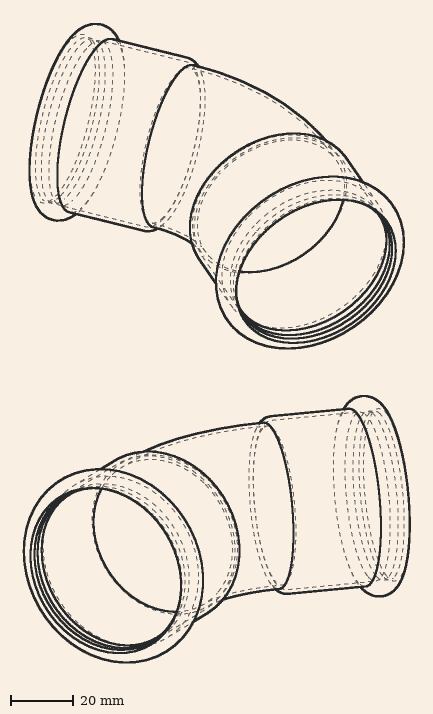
import cadquery as cq
import math


bend_angle = 45
bend_radius = 56.1
tube_outer_radius = 53.8 / 2

wall = 1.4
socket_length = 38.7
socket_outer_radius = 57.5 / 2
socket_bore_radius = socket_outer_radius - wall
shoulder_round = 3.0
shoulder_inner_round = shoulder_round - wall
shoulder_center_radius = socket_outer_radius - shoulder_round
tube_bore_radius = shoulder_center_radius

bead_outer_radius = 64.8 / 2
bead_round = 10.0 / 2
bead_center = (socket_length - bead_round, bead_outer_radius - bead_round)
mouth_radius = 27.8
lip_radius = 54.5 / 2
lip_depth = 1.6
lip_end_depth = 9.1
lip_taper = 0.8

seal_half_width = 2.7 / 2
seal_height = 0.32


def circle_offset(radius, distance):
    """Half chord length of a circle at the given distance from its center."""
    return math.sqrt(radius**2 - distance**2)


def make_bend():
    pipe_section = cq.Workplane("YZ").circle(tube_outer_radius).circle(tube_bore_radius)
    return pipe_section.revolve(bend_angle, (-bend_radius, 0, 0), (-bend_radius, 1, 0))


def make_socket():
    diagonal = math.sqrt(0.5)
    bead_x, bead_y = bead_center
    shoulder_start = shoulder_round - circle_offset(
        shoulder_round, tube_outer_radius - shoulder_center_radius
    )
    start_angle = math.asin((tube_outer_radius - shoulder_center_radius) / shoulder_round)
    middle_angle = (start_angle + math.pi / 2) / 2
    shoulder_middle = (
        shoulder_round * (1 - math.cos(middle_angle)),
        shoulder_center_radius + shoulder_round * math.sin(middle_angle),
    )
    bead_start = bead_x - circle_offset(bead_round, socket_outer_radius - bead_y)
    bead_end = bead_x + circle_offset(bead_round, mouth_radius - bead_y)
    lip_end = socket_length - lip_end_depth

    profile = (
        cq.Workplane("XY")
        .moveTo(0, tube_bore_radius)
        .lineTo(0, tube_outer_radius)
        .lineTo(shoulder_start, tube_outer_radius)
        .threePointArc(shoulder_middle, (shoulder_round, socket_outer_radius))
        .lineTo(bead_start, socket_outer_radius)
        .threePointArc((bead_x, bead_outer_radius), (bead_end, mouth_radius))
        .lineTo(socket_length - lip_depth, lip_radius)
        .lineTo(bead_x + seal_half_width, lip_radius)
        .threePointArc((bead_x, lip_radius - seal_height), (bead_x - seal_half_width, lip_radius))
        .lineTo(lip_end, lip_radius)
        .lineTo(lip_end - lip_taper, socket_bore_radius)
        .lineTo(shoulder_round, socket_bore_radius)
        .threePointArc(
            (
                shoulder_round - shoulder_inner_round * diagonal,
                shoulder_center_radius + shoulder_inner_round * diagonal,
            ),
            (wall, tube_bore_radius),
        )
        .close()
    )
    return profile.revolve(360, (0, 0, 0), (1, 0, 0))


bend = make_bend()
straight_socket = make_socket()

bend_center = (0, -bend_radius, 0)
bend_axis_end = (0, -bend_radius, 1)
angled_socket = straight_socket.mirror("YZ").rotate(bend_center, bend_axis_end, bend_angle)

result = bend.union(straight_socket).union(angled_socket)